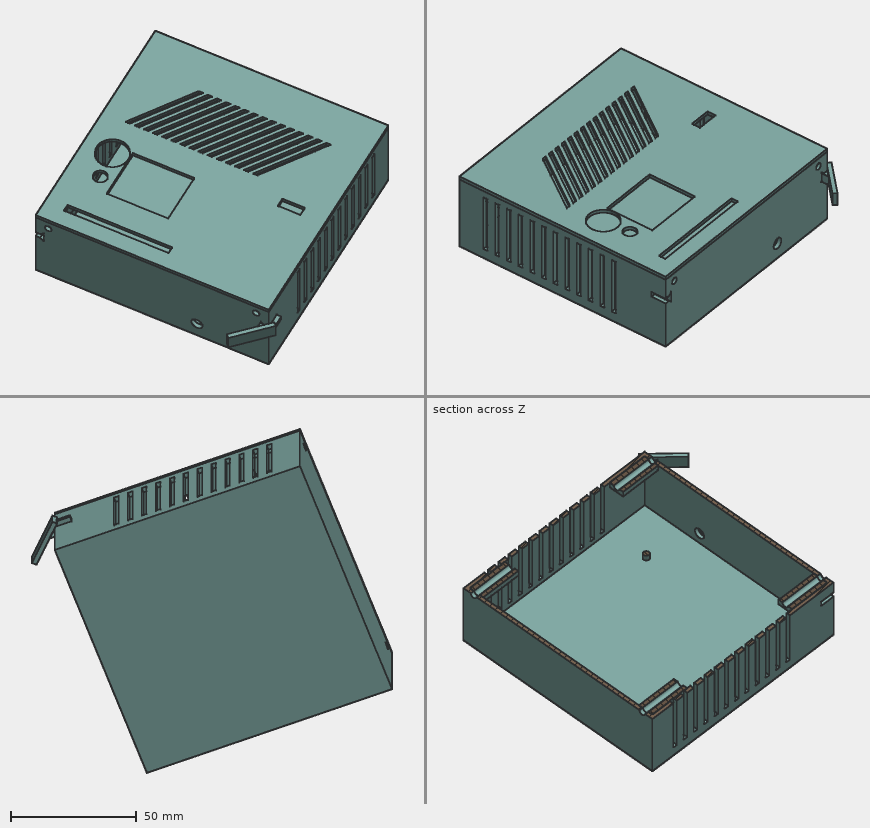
import cadquery as cq
import math


box_side = 104.0
total_height = 35.5
lid_thickness = 1.5
wall = 2.0
box_height = total_height - lid_thickness

side_vent_count = 12
side_vent_pitch = 5.9
side_vent_width = 2.0
side_vent_bottom = 4.6
side_vent_height = 26.0
first_side_vent_y = 26.2

screw_hole_diameter = 3.0
screw_inset = 5.7
screw_z = 29.9
cable_hole_diameter = 5.0
cable_hole_x = 72.0
cable_hole_z = 7.4

socket_z = 23.1
socket_length = 7.2
socket_neck_height = 2.4
socket_flare_height = 5.0
socket_depth = 3.7

block_width = 2 * (screw_inset - wall)
block_length = 20.0
block_drop = 6.6
stud_diameter = 3.0
stud_x = 64.8
stud_y = 39.9

lid_vent_count = 15
lid_vent_pitch = 4.06
lid_vent_width = 2.0
lid_vent_x = 10.4
lid_vent_front = 58.0
lid_vent_length = 27.0
lid_vent_slant = 18.9

screen_opening = (20.1, 22.5, 27.5, 22.9)
card_opening = (9.0, 7.2, 46.7, 3.2)
switch_opening = (83.4, 48.1, 10.0, 4.0)

dial_opening = (13.0, 41.6, 14.0)
button_opening = (14.0, 29.0, 6.0)

clip_thickness = 2.0
clip_height = 6.0
clip_bottom = 20.5
clip_front_reach = 117.8 - box_side
clip_side_reach = 3.1
rail_side_reach = 1.9
rail_neck_height = 1.6
rail_flare_height = 4.2
rail_flare_start = 2.2


def block(x, y, z, size_x, size_y, size_z):
    """Box placed by its lower front left corner."""
    return cq.Workplane("XY").box(size_x, size_y, size_z, centered=False).translate((x, y, z))


def rod_along_y(x, z, diameter, y_start, length):
    """Cylinder running toward +Y."""
    return (
        cq.Workplane("XZ", origin=(x, y_start, z))
        .circle(diameter / 2)
        .extrude(-length)
    )


def dovetail(outer_x, flare_start, depth, neck_height, flare_height, y_start, y_end):
    """Bar along Y with a straight neck from outer_x, flaring toward +X; z = 0 is its middle."""
    half_neck = neck_height / 2
    half_flare = flare_height / 2
    return (
        cq.Workplane("XZ", origin=(0, y_start, 0))
        .polyline([
            (outer_x, -half_neck),
            (flare_start, -half_neck),
            (depth, -half_flare),
            (depth, half_flare),
            (flare_start, half_neck),
            (outer_x, half_neck),
        ])
        .close()
        .extrude(y_start - y_end)
    )


def mirror_to_right(body):
    """Mirror image about the middle plane between the side walls."""
    return body.mirror("YZ", (box_side / 2, 0, 0))


def screw_hole_cutters():
    """Rods through the whole depth, one beside each side wall."""
    left = rod_along_y(screw_inset, screw_z, screw_hole_diameter, 0, box_side)
    return left.union(mirror_to_right(left))


def side_vent_cutters():
    """Upright bars that pass through both side walls."""
    vents = cq.Workplane("XY")
    for i in range(side_vent_count):
        y = first_side_vent_y + i * side_vent_pitch - side_vent_width / 2
        vents = vents.add(block(0, y, side_vent_bottom, box_side, side_vent_width, side_vent_height))
    return vents.combine()


def make_housing():
    inner_side = box_side - 2 * wall
    housing = block(0, 0, 0, box_side, box_side, box_height)
    housing = housing.cut(block(wall, wall, wall, inner_side, inner_side, box_height))
    housing = housing.cut(side_vent_cutters()).cut(screw_hole_cutters())
    housing = housing.cut(rod_along_y(cable_hole_x, cable_hole_z, cable_hole_diameter, 0, wall))

    socket = dovetail(
        0, wall, socket_depth, socket_neck_height, socket_flare_height, 0, socket_length
    ).translate((0, 0, socket_z))
    return housing.cut(socket).cut(mirror_to_right(socket))


def lid_vent_cutters():
    """Row of parallelogram bars leaning toward +X at the back."""
    vents = cq.Workplane("XY")
    back = lid_vent_front + lid_vent_length
    for i in range(lid_vent_count):
        x = lid_vent_x + i * lid_vent_pitch
        vent = (
            cq.Workplane("XY", origin=(0, 0, box_height))
            .polyline([
                (x, lid_vent_front),
                (x + lid_vent_width, lid_vent_front),
                (x + lid_vent_slant + lid_vent_width, back),
                (x + lid_vent_slant, back),
            ])
            .close()
            .extrude(lid_thickness)
        )
        vents = vents.add(vent)
    return vents.combine()


def make_lid():
    lid = block(0, 0, box_height, box_side, box_side, lid_thickness)
    lid = lid.cut(lid_vent_cutters())
    for x, y, size_x, size_y in (screen_opening, card_opening, switch_opening):
        lid = lid.cut(block(x, y, box_height, size_x, size_y, lid_thickness))
    for x, y, diameter in (dial_opening, button_opening):
        opening = cq.Workplane("XY", origin=(x, y, box_height)).circle(diameter / 2)
        lid = lid.cut(opening.extrude(lid_thickness))

    for y in (wall, box_side - wall - block_length):
        left = block(wall, y, box_height - block_drop, block_width, block_length, block_drop)
        lid = lid.union(left).union(mirror_to_right(left))
    stud = cq.Workplane("XY", origin=(stud_x, stud_y, box_height)).circle(stud_diameter / 2)
    lid = lid.union(stud.extrude(-block_drop))
    return lid.cut(screw_hole_cutters())


def make_clip():
    corner_x = box_side
    face_offset = clip_thickness * math.sqrt(2)
    step = face_offset / 2
    outer_right = (corner_x + clip_side_reach, clip_side_reach - face_offset)
    outer_front = (corner_x - clip_front_reach + face_offset, -clip_front_reach)
    plate = (
        cq.Workplane("XY", origin=(0, 0, clip_bottom))
        .polyline([
            outer_right,
            outer_front,
            (outer_front[0] - step, outer_front[1] + step),
            (outer_right[0] - step, outer_right[1] + step),
        ])
        .close()
        .extrude(clip_height)
    )

    rail = mirror_to_right(dovetail(
        -rail_side_reach, rail_flare_start, socket_depth,
        rail_neck_height, rail_flare_height, -clip_front_reach, socket_length,
    )).translate((0, 0, socket_z))
    beyond_plate = (
        cq.Workplane("XY")
        .polyline([
            (corner_x - clip_front_reach, -clip_front_reach - step),
            (corner_x + clip_front_reach, -clip_front_reach - step),
            (corner_x + clip_front_reach, clip_front_reach - step),
        ])
        .close()
        .extrude(total_height)
    )
    return plate.union(rail.cut(beyond_plate))


housing = make_housing()
lid = make_lid()
clip = make_clip()

result = cq.Compound.makeCompound([body.solids().val() for body in (housing, lid, clip)])